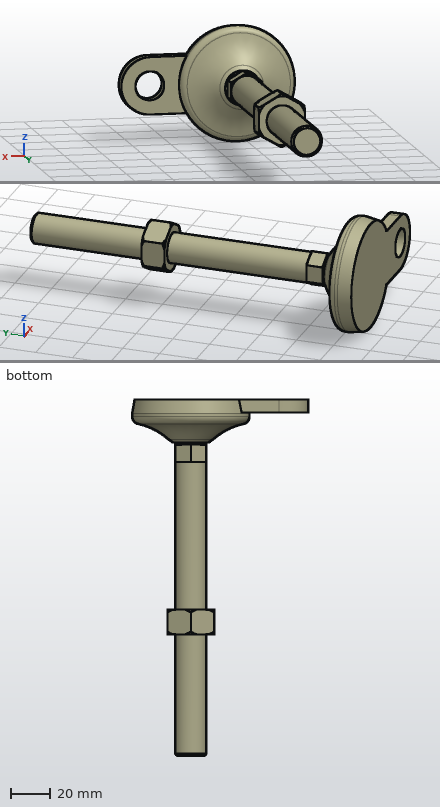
import cadquery as cq
import math

total_length = 182.0

foot_radius = 30.0
sole_radius = 28.8
taper_top = 7.1
rim_top = 8.7
shoulder_end = (27.0, 12.5)
collar_edge = (11.5, 20.4)
collar_top_radius = 9.1
foot_height = 22.0

lug_reach = 60.0
lug_radius = 15.0
lug_thickness = 6.7
lug_hole_diameter = 15.0
lug_center = lug_reach - lug_radius

rod_diameter = 16.0
rod_chamfer = 1.1
neck_diameter = 10.0
wrench_hex_start = 23.1
wrench_hex_end = 31.8

nut_flats = 24.0
nut_start = 107.4
nut_height = 12.5
nut_chamfer = 1.3


def plane_at(y):
    """Plane across the stem axis, with local X along +X and normal along +Y."""
    return cq.Workplane(cq.Plane(origin=(0, y, 0), xDir=(1, 0, 0), normal=(0, 1, 0)))


def cylinder(diameter, start, end):
    return plane_at(start).circle(diameter / 2).extrude(end - start)


def corner_diameter(flats):
    return flats / math.cos(math.pi / 6)


def hexagon(flats, start, end):
    """Hexagonal prism with two flats facing +X and -X."""
    prism = plane_at(start).polygon(6, corner_diameter(flats)).extrude(end - start)
    return prism.rotate((0, 0, 0), (0, 1, 0), 30)


def make_foot():
    """Tapered sole with a rounded shoulder that flows into a hollow flare below the collar."""
    profile = (
        cq.Workplane("XY")
        .lineTo(sole_radius, 0)
        .lineTo(foot_radius, taper_top)
        .lineTo(foot_radius, rim_top)
        .tangentArcPoint(shoulder_end, relative=False)
        .tangentArcPoint(collar_edge, relative=False)
        .lineTo(collar_top_radius, foot_height)
        .lineTo(0, foot_height)
        .close()
    )
    return profile.revolve(360, (0, 0, 0), (0, 1, 0))


def make_lug():
    arm = plane_at(0).center(lug_center / 2, 0).rect(lug_center, 2 * lug_radius).extrude(lug_thickness)
    eye = plane_at(0).center(lug_center, 0).circle(lug_radius).extrude(lug_thickness)
    hole = plane_at(0).center(lug_center, 0).circle(lug_hole_diameter / 2).extrude(lug_thickness)
    return arm.union(eye).cut(hole)


def make_stem():
    neck = cylinder(neck_diameter, foot_height, wrench_hex_start)
    wrench_hex = hexagon(rod_diameter, wrench_hex_start, wrench_hex_end)
    rod = cylinder(rod_diameter, wrench_hex_end, total_length).faces(">Y").chamfer(rod_chamfer)
    return neck.union(wrench_hex).union(rod)


def make_nut():
    """Hexagonal nut with its corners bevelled at both ends."""
    nut_end = nut_start + nut_height
    bevelled_round = cylinder(corner_diameter(nut_flats), nut_start, nut_end)
    bevelled_round = bevelled_round.faces("<Y or >Y").chamfer(nut_chamfer)
    return hexagon(nut_flats, nut_start, nut_end).intersect(bevelled_round)


result = make_foot().union(make_lug()).union(make_stem()).union(make_nut())